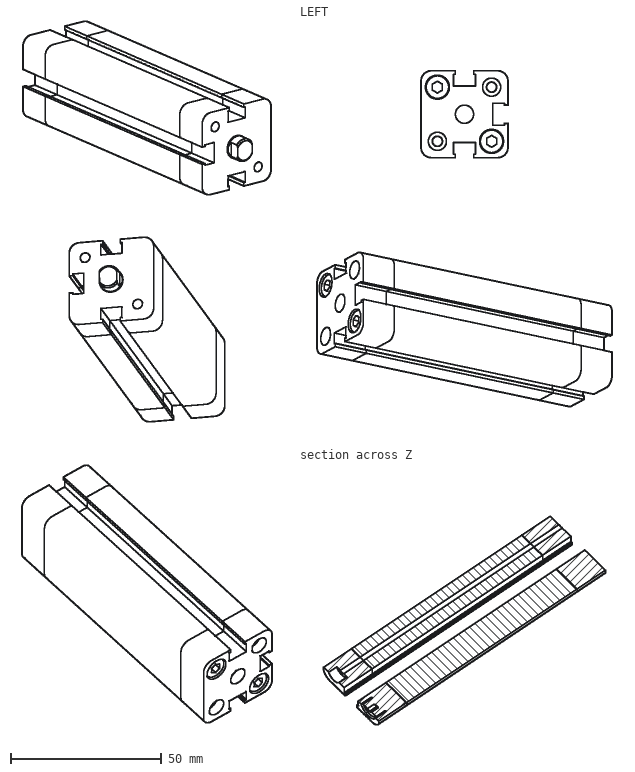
import cadquery as cq
import math


total_length = 102.5
rod_projection = 4.5
cap_length = 12.2
housing_length = total_length - rod_projection
barrel_length = housing_length - 2 * cap_length

profile_size = 29.0
corner_radius = 3.5
slot_opening = 6.0
slot_width = 7.2
slot_depth = 5.0
slot_lip = 1.2
slot_angles = (0, 180, -90)

hole_offset = 9.0
through_diameter = 3.3
recess_diameter = 6.0
recess_depth = 3.5
centring_depth = 4.0
hole_places = ((-hole_offset, hole_offset), (hole_offset, -hole_offset))
screw_places = ((hole_offset, hole_offset), (-hole_offset, -hole_offset))

counterbore_diameter = 8.0
head_diameter = 7.5
counterbore_depth = 4.5
head_setback = 0.5
head_fillet = 0.4
socket_across_flats = 3.4
socket_depth = 3.0

rod_diameter = 8.0
rod_across_flats = 6.0
rod_end_diameter = 7.8
rod_end_setback = 0.3
rod_chamfer = 0.5
runout_length = 0.6


def yz_plane(x):
    """Plane across the cylinder at x; its local axes are the global Y and Z."""
    return cq.Workplane("YZ", origin=(x, 0, 0))


def slot_cutter(x, length):
    """T-slot open towards -Z."""
    face = -profile_size / 2
    floor = face + slot_depth
    inner_height = slot_depth - slot_lip
    opening = yz_plane(x).center(0, face + slot_depth / 2).rect(slot_opening, slot_depth)
    chamber = yz_plane(x).center(0, floor - inner_height / 2).rect(slot_width, inner_height)
    return opening.extrude(length).union(chamber.extrude(length))


def make_section(x, length):
    """Length of slotted square profile with the two mounting holes through it."""
    section = yz_plane(x).rect(profile_size, profile_size).extrude(length)
    section = section.edges("|X").fillet(corner_radius)
    cutter = slot_cutter(x, length)
    for angle in slot_angles:
        section = section.cut(cutter.rotate((0, 0, 0), (1, 0, 0), angle))
    holes = yz_plane(x).pushPoints(hole_places).circle(through_diameter / 2).extrude(length)
    return section.cut(holes)


def make_screw_head(y, z):
    """Rounded socket head, set back from the end cap face."""
    head_height = counterbore_depth - head_setback
    head = yz_plane(head_setback).center(y, z).circle(head_diameter / 2).extrude(head_height)
    head = head.faces("<X").edges().fillet(head_fillet)
    across_corners = socket_across_flats / math.cos(math.pi / 6)
    socket = yz_plane(head_setback).polygon(6, across_corners).extrude(socket_depth)
    socket = socket.rotate((0, 0, 0), (1, 0, 0), 90)
    return head.cut(socket.translate((0, y, z)))


def make_end_cap():
    cap = make_section(0, cap_length)
    recesses = yz_plane(0).pushPoints(hole_places).circle(recess_diameter / 2)
    cap = cap.cut(recesses.extrude(recess_depth))
    centring_hole = yz_plane(0).circle(recess_diameter / 2).extrude(centring_depth)
    cap = cap.cut(centring_hole)
    counterbores = yz_plane(0).pushPoints(screw_places).circle(counterbore_diameter / 2)
    cap = cap.cut(counterbores.extrude(counterbore_depth))
    for y, z in screw_places:
        cap = cap.union(make_screw_head(y, z))
    return cap


def make_barrel():
    return make_section(cap_length, barrel_length)


def make_bearing_cap():
    start = cap_length + barrel_length
    rod_bore = yz_plane(start).circle(rod_diameter / 2).extrude(cap_length)
    return make_section(start, cap_length).cut(rod_bore)


def make_piston_rod():
    """Rod through the bearing cap, its thinner end cut by two wrench flats with sloping run-outs."""
    shaft_start = cap_length + barrel_length
    end_start = housing_length + rod_end_setback
    shaft = yz_plane(shaft_start).circle(rod_diameter / 2).extrude(end_start - shaft_start)
    rod_end = yz_plane(end_start).circle(rod_end_diameter / 2).extrude(total_length - end_start)
    rod_end = rod_end.faces(">X").edges().chamfer(rod_chamfer)
    flat_y = rod_across_flats / 2
    rim_y = rod_end_diameter / 2
    flat = (
        cq.Workplane("XY", origin=(0, 0, -rim_y))
        .moveTo(end_start, rim_y)
        .lineTo(end_start + runout_length, flat_y)
        .lineTo(total_length, flat_y)
        .lineTo(total_length, rim_y)
        .close()
        .extrude(rod_end_diameter)
    )
    return shaft.union(rod_end.cut(flat).cut(flat.mirror("XZ")))


end_cap = make_end_cap()
barrel = make_barrel()
bearing_cap = make_bearing_cap()
piston_rod = make_piston_rod()

result = cq.Compound.makeCompound(
    [end_cap.val(), barrel.val(), bearing_cap.val(), piston_rod.val()]
)